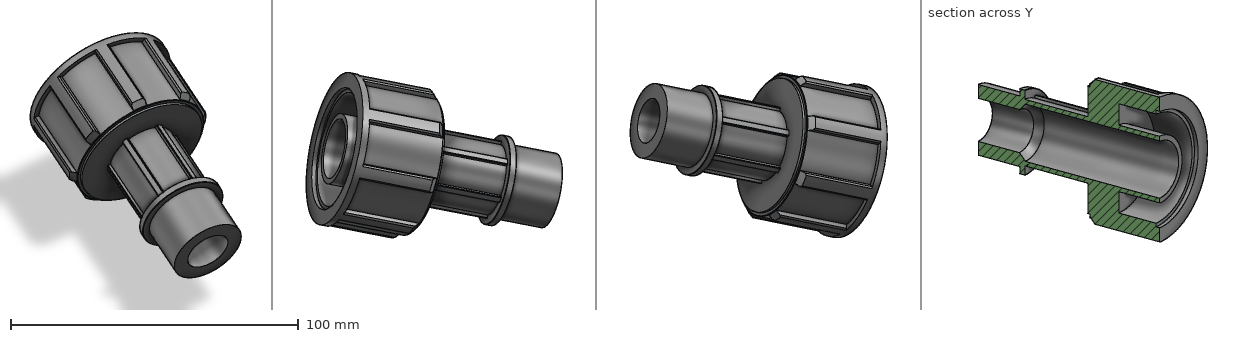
import cadquery as cq

total_length = 80.0

nut_diameter = 54.0
nut_root_diameter = 50.1
nut_flange_length = 2.6
nut_length = 31.0
nut_edge_chamfer = 0.2
nut_bore_diameter = 40.5
nut_mouth_diameter = 43.2
nut_mouth_depth = 1.6
nut_bore_depth = 18.0
collar_diameter = 47.5
collar_end = 31.8

grip_rib_count = 8
grip_rib_width = 5.3
grip_rib_edge_chamfer = 0.6
grip_rib_end_chamfer = 2.3

stem_diameter = 25.0
stop_start = 59.4
stop_end = 61.8
stop_diameter = 31.8
stop_chamfer = 0.2
spigot_diameter = 26.5

bore_inlet_diameter = 21.1
bore_throat_diameter = 15.8
bore_taper_length = (bore_inlet_diameter - bore_throat_diameter) / 2

stem_rib_count = 6
stem_rib_tip_diameter = 27.4
stem_rib_width = 2.3
stem_rib_edge_chamfer = 0.2

overlap = 0.8


def cylinder(diameter, start, end):
    return cq.Workplane("YZ").workplane(offset=start).circle(diameter / 2).extrude(end - start)


def ribs(count, width, tip_diameter, edge_chamfer, start, end):
    """Equally spaced ribs reaching in to the X axis, with both tip edges chamfered."""
    height = tip_diameter / 2
    rib = (
        cq.Workplane("XY")
        .box(end - start, height, width, centered=(False, False, True))
        .faces(">Y")
        .edges("|X")
        .chamfer(edge_chamfer)
        .translate((start, 0, 0))
    )
    pattern = rib
    for index in range(1, count):
        pattern = pattern.union(rib.rotate((0, 0, 0), (1, 0, 0), index * 360 / count))
    return pattern


def make_nut():
    flange = cylinder(nut_diameter, 0, nut_flange_length)
    body = cylinder(nut_root_diameter, 0, nut_length).faces(">X").chamfer(nut_edge_chamfer)
    envelope = cylinder(nut_diameter, 0, nut_length).faces(">X").chamfer(grip_rib_end_chamfer)
    grips = ribs(grip_rib_count, grip_rib_width, nut_diameter, grip_rib_edge_chamfer, 0, nut_length)
    grips = grips.intersect(envelope)
    collar = cylinder(collar_diameter, 0, collar_end)
    nut = flange.union(body).union(grips).union(collar)
    nut = nut.cut(cylinder(nut_mouth_diameter, 0, nut_mouth_depth))
    return nut.cut(cylinder(nut_bore_diameter, 0, nut_bore_depth))


def make_tailpiece():
    stem = cylinder(stem_diameter, 0, stop_end)
    stop = cylinder(stop_diameter, stop_start, stop_end).edges().chamfer(stop_chamfer)
    spigot = cylinder(spigot_diameter, stop_start, total_length)
    stem_ribs = ribs(
        stem_rib_count,
        stem_rib_width,
        stem_rib_tip_diameter,
        stem_rib_edge_chamfer,
        collar_end - overlap,
        stop_start + overlap,
    )
    return stem.union(stop).union(spigot).union(stem_ribs)


def make_bore():
    inlet_radius = bore_inlet_diameter / 2
    throat_radius = bore_throat_diameter / 2
    half_section = [
        (0, 0),
        (0, inlet_radius),
        (stop_end - bore_taper_length, inlet_radius),
        (stop_end, throat_radius),
        (total_length, throat_radius),
        (total_length, 0),
    ]
    return cq.Workplane("XY").polyline(half_section).close().revolve(360, (0, 0), (1, 0))


result = make_nut().union(make_tailpiece()).cut(make_bore())